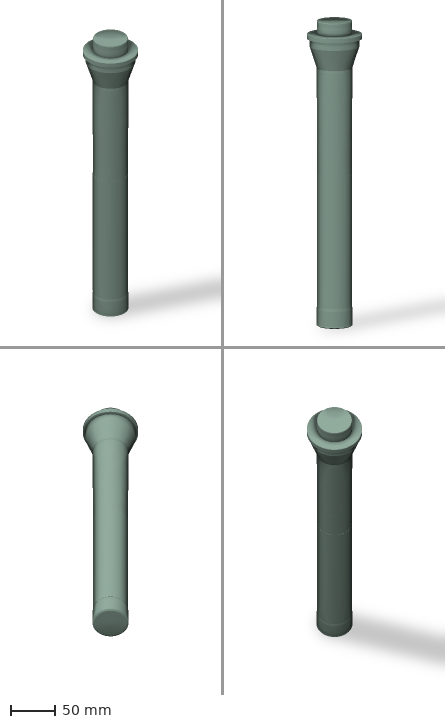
import cadquery as cq

total_height = 351.0
tube_diameter = 40.0
neck_diameter = 39.5
sleeve_diameter = 40.5
flange_diameter = 62.5
head_diameter = 56.0

base_diameter = 37.2
base_depth = 0.7
lip_diameter = 40.7
lip_bottom = 1.8
lip_top = 3.0
sleeve_top = 20.5
sleeve_taper_top = 23.5
joint_height = 176.2

collar_bottom = 288.0
collar_top = 293.8
cone_bottom = 296.5
cone_top = 321.0
flange_bottom = 330.3
flange_top = 336.0
stub_taper_bottom = 342.2
stub_taper_top = 345.5
stub_bevel_width = 0.5
stub_bevel_height = 1.0
flange_bevel_width = 0.7
flange_bevel_height = 0.5
head_chamfer = 0.7

tube_radius = tube_diameter / 2
neck_radius = neck_diameter / 2
sleeve_radius = sleeve_diameter / 2
flange_radius = flange_diameter / 2
head_radius = head_diameter / 2
base_radius = base_diameter / 2
lip_radius = lip_diameter / 2


def revolve_profile(profile):
    """Turn a closed (radius, height) outline about the Z axis."""
    return cq.Workplane("XZ").polyline(profile).close().revolve(360, (0, 0, 0), (0, 1, 0))


def make_lower_tube():
    """Straight tube with a wider end sleeve, a flared lip and a bevelled base."""
    profile = [
        (0, 0),
        (base_radius, base_depth),
        (lip_radius, lip_bottom),
        (sleeve_radius, lip_top),
        (sleeve_radius, sleeve_top),
        (neck_radius, sleeve_taper_top),
        (tube_radius, sleeve_taper_top),
        (tube_radius, joint_height),
        (0, joint_height),
    ]
    return revolve_profile(profile)


def make_upper_head():
    """Tapered shank, collar, conical head, flange and top stub."""
    profile = [
        (0, joint_height),
        (neck_radius, joint_height),
        (sleeve_radius, collar_bottom),
        (sleeve_radius, collar_top),
        (tube_radius, cone_bottom),
        (head_radius, cone_top),
        (head_radius, flange_bottom - head_chamfer),
        (head_radius - head_chamfer, flange_bottom),
        (flange_radius, flange_bottom),
        (flange_radius, flange_top - flange_bevel_height),
        (flange_radius - flange_bevel_width, flange_top),
        (tube_radius, flange_top),
        (tube_radius, stub_taper_bottom),
        (neck_radius, stub_taper_top),
        (neck_radius, total_height - stub_bevel_height),
        (neck_radius - stub_bevel_width, total_height),
        (0, total_height),
    ]
    return revolve_profile(profile)


lower_tube = make_lower_tube()
upper_head = make_upper_head()

result = cq.Compound.makeCompound([lower_tube.val(), upper_head.val()])